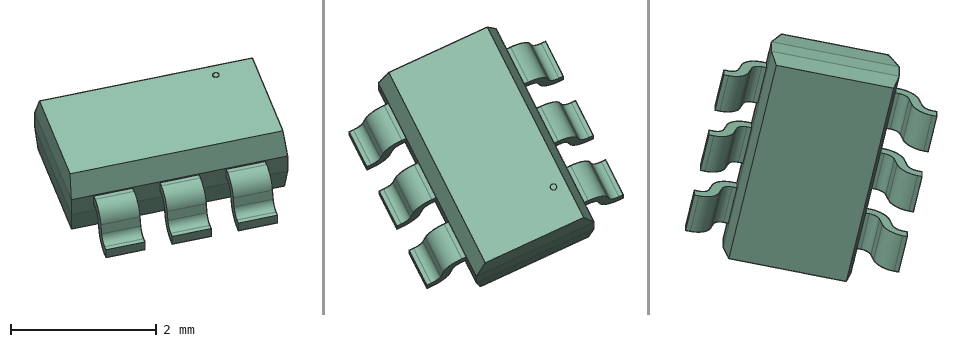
import cadquery as cq
import math

housing_width = 1.8
housing_length = 3.1
band_height = 0.288
cap_height = 0.35
top_side_taper = 0.15
bottom_side_taper = 0.075
end_taper = 0.025
housing_height = band_height + 2 * cap_height

lead_span = 3.0
lead_width = 0.56
lead_thickness = 0.15
lead_pitch = 0.95
leads_per_side = 3
shoulder_top = 0.62
shoulder_flat = 0.065
inner_bend_radius = 0.15
bend_angle = math.radians(75)
outer_bend_radius = inner_bend_radius + lead_thickness

marker_diameter = 0.09
marker_depth = 0.015
marker_edge_gap = 0.183
marker_x = -housing_width / 2 + top_side_taper + marker_edge_gap
marker_y = lead_pitch * (leads_per_side - 1) / 2


def make_marker():
    return (
        cq.Workplane("XY", origin=(marker_x, marker_y, housing_height - marker_depth))
        .circle(marker_diameter / 2)
        .extrude(marker_depth)
    )


def tapered_cap(base_z, end_z, side_taper):
    """Cap that narrows from the full housing outline at base_z to a smaller one at end_z."""
    return (
        cq.Workplane("XY", origin=(0, 0, base_z))
        .rect(housing_width, housing_length)
        .workplane(offset=end_z - base_z)
        .rect(housing_width - 2 * side_taper, housing_length - 2 * end_taper)
        .loft(ruled=True)
    )


def make_housing(marker):
    band_top = cap_height + band_height
    band = (
        cq.Workplane("XY", origin=(0, 0, cap_height))
        .rect(housing_width, housing_length)
        .extrude(band_height)
    )
    top_cap = tapered_cap(band_top, housing_height, top_side_taper)
    bottom_cap = tapered_cap(cap_height, 0, bottom_side_taper)
    return band.union(top_cap).union(bottom_cap).cut(marker)


def bend_point(center, radius, angle, side):
    """Point on a bend, angle measured from straight up (side 1) or straight down (side -1)."""
    return (
        center[0] - side * radius * math.sin(angle),
        center[1] + side * radius * math.cos(angle),
    )


def make_left_lead(y):
    """Lead on the -X side, centred at y, from the foot tip to the housing wall."""
    tip_x = -lead_span / 2
    wall_x = -housing_width / 2
    shoulder_bottom = shoulder_top - lead_thickness

    bend_radii = inner_bend_radius + outer_bend_radius
    slant_rise = shoulder_bottom - bend_radii * (1 - math.cos(bend_angle))
    bend_run = bend_radii * math.sin(bend_angle) + slant_rise / math.tan(bend_angle)

    upper = (wall_x - shoulder_flat, shoulder_top - outer_bend_radius)
    lower = (upper[0] - bend_run, outer_bend_radius)
    half_bend = bend_angle / 2

    profile = (
        cq.Workplane("XZ", origin=(0, y + lead_width / 2, 0))
        .moveTo(tip_x, 0)
        .lineTo(lower[0], 0)
        .threePointArc(
            bend_point(lower, outer_bend_radius, half_bend, -1),
            bend_point(lower, outer_bend_radius, bend_angle, -1),
        )
        .lineTo(*bend_point(upper, inner_bend_radius, bend_angle, 1))
        .threePointArc(
            bend_point(upper, inner_bend_radius, half_bend, 1),
            (upper[0], shoulder_bottom),
        )
        .lineTo(wall_x, shoulder_bottom)
        .lineTo(wall_x, shoulder_top)
        .lineTo(upper[0], shoulder_top)
        .threePointArc(
            bend_point(upper, outer_bend_radius, half_bend, 1),
            bend_point(upper, outer_bend_radius, bend_angle, 1),
        )
        .lineTo(*bend_point(lower, inner_bend_radius, bend_angle, -1))
        .threePointArc(
            bend_point(lower, inner_bend_radius, half_bend, -1),
            (lower[0], lead_thickness),
        )
        .lineTo(tip_x, lead_thickness)
        .close()
    )
    return profile.extrude(lead_width)


def make_leads():
    """Evenly pitched leads on the -X side, each with an opposite one on the +X side."""
    leads = []
    for index in range(leads_per_side):
        y = (index - (leads_per_side - 1) / 2) * lead_pitch
        left_lead = make_left_lead(y)
        leads.append(left_lead)
        leads.append(left_lead.mirror("YZ"))
    return leads


marker = make_marker()
housing = make_housing(marker)
leads = make_leads()

result = cq.Compound.makeCompound([housing.val(), marker.val(), *[lead.val() for lead in leads]])